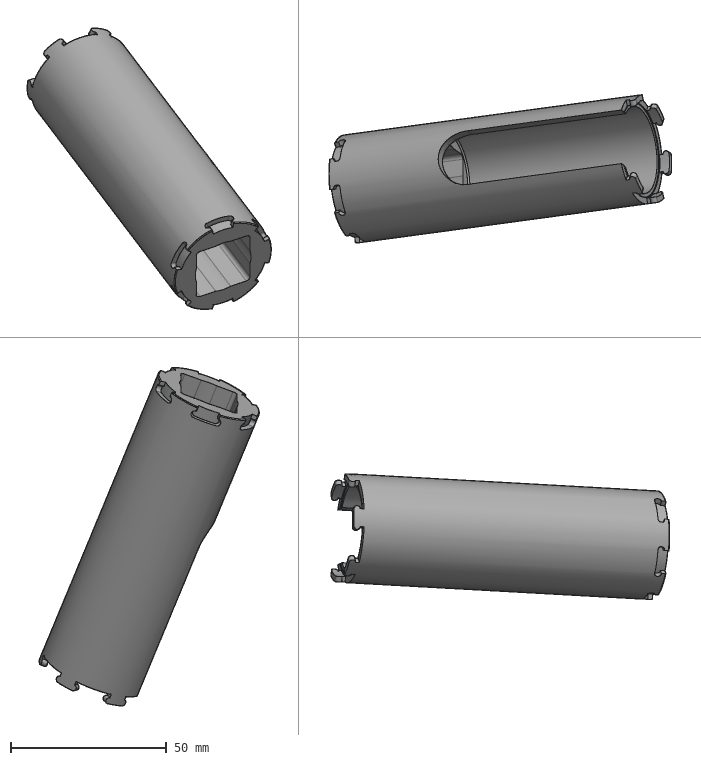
import cadquery as cq

length = 105.0
outer_diameter = 35.0
bore_diameter = 28.2
end_chamfer = 0.3
recess_diameter = 30.7
recess_depth = 0.3
outer_radius = outer_diameter / 2

window_width = 18.1
window_end = 66.5

bore_overrun = 3.4
bore_end = window_end + bore_overrun
floor_chamfer = 0.5
drive_square = 19.3
drive_corner_radius = 1.4
drive_round_diameter = 20.1

pocket_count = 6
tooth_count = pocket_count - 1
coupling_pitch = 360 / pocket_count
root_radius = 15.6
head_length = 2.2
tooth_length = 3.4
tooth_head_width = 7.8
tooth_neck_width = 5.9
pocket_length = 3.8
pocket_head_width = 10.5
pocket_neck_width = 8.0
key_base_radius = 13.6
tooth_angles = [coupling_pitch * (i - (tooth_count - 1) / 2) for i in range(tooth_count)]
pocket_angles = [coupling_pitch * (i + 0.5) for i in range(pocket_count)]


def rod(diameter, start, end):
    """Cylinder along the X axis from start to end."""
    return cq.Workplane("YZ", origin=(start, 0, 0)).circle(diameter / 2).extrude(end - start)


def wall_ring(start, end):
    """Outer layer of the wall that the teeth and pockets occupy."""
    return rod(outer_diameter, start, end).cut(rod(2 * root_radius, start, end))


def key_prism(x_size, x_start, width, rounded, radial_flanks):
    """Block pointing along -Y; radial flanks narrow its width in proportion to the radius."""
    inner_width = width * key_base_radius / outer_radius if radial_flanks else width
    prism = cq.Workplane("XZ", origin=(x_start + x_size / 2, -key_base_radius, 0))
    if rounded:
        prism = prism.slot2D(inner_width, x_size, 90)
        prism = prism.workplane(offset=outer_radius - key_base_radius).slot2D(width, x_size, 90)
    else:
        prism = prism.rect(x_size, inner_width)
        prism = prism.workplane(offset=outer_radius - key_base_radius).rect(x_size, width)
    return prism.loft(ruled=True)


def coupling_key(start, key_length, head_width, neck_width, angle, radial_flanks):
    """Round-ended head with a neck behind it, curved to the wall; angle is about X from -Y."""
    end = start + key_length
    head_middle = start + head_length / 2
    head = key_prism(head_length, start, head_width, True, radial_flanks)
    neck = key_prism(end - head_middle, head_middle, neck_width, False, radial_flanks)
    key = head.union(neck).intersect(wall_ring(start, end))
    return key.rotate((0, 0, 0), (1, 0, 0), angle)


body = rod(outer_diameter, tooth_length, length).faces(">X").edges().chamfer(end_chamfer)
bore = rod(bore_diameter, 0, bore_end).faces(">X").edges().chamfer(floor_chamfer)
body = body.cut(bore)

body = body.cut(rod(recess_diameter, tooth_length, tooth_length + recess_depth))

drive_hole = (
    cq.Workplane("YZ")
    .rect(drive_square, drive_square)
    .extrude(length)
    .edges("|X")
    .fillet(drive_corner_radius)
    .union(rod(drive_round_diameter, 0, length))
)
body = body.cut(drive_hole)

window_radius = window_width / 2
window_straight_end = window_end - window_radius
window = (
    cq.Workplane("XZ")
    .moveTo(0, -window_radius)
    .lineTo(window_straight_end, -window_radius)
    .threePointArc((window_end, 0), (window_straight_end, window_radius))
    .lineTo(0, window_radius)
    .close()
    .extrude(-outer_diameter)
)
body = body.cut(window)

for tooth_angle in tooth_angles:
    tooth = coupling_key(0, tooth_length, tooth_head_width, tooth_neck_width, tooth_angle, False)
    body = body.union(tooth)

pocket_start = length - pocket_length
for pocket_angle in pocket_angles:
    pocket = coupling_key(
        pocket_start, pocket_length, pocket_head_width, pocket_neck_width, pocket_angle, True
    )
    body = body.cut(pocket)

result = body